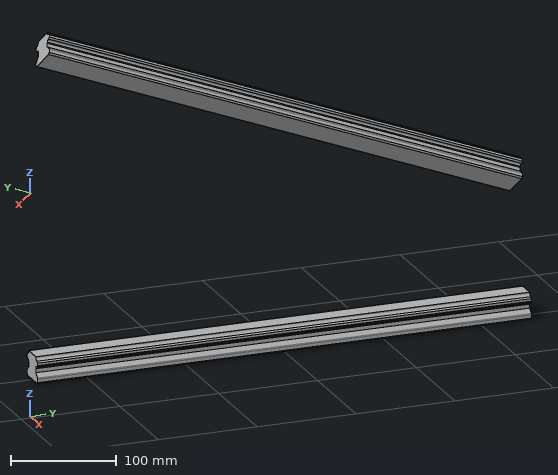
import cadquery as cq
import math

length = 500.0
width = 28.0
height = 26.0
half_width = width / 2

waist_half_width = 9.5
rim_top = 21.0
rim_bottom = 18.5
rim_bevel = 1.5
upper_groove_radius = 3.0
lower_groove_radius = 2.0

waist_top = 14.0
waist_bottom = 10.0
flare_width = 0.5

shoulder_angle = math.radians(45)
shoulder_radius = 1.5
foot_chamfer = 1.5


def half_outline():
    """Right half of the rail section, open along the middle plane, bottom to top."""
    rim_edge_x = half_width - rim_bevel
    upper_groove_floor = rim_top + rim_bevel
    upper_groove_top = upper_groove_floor + upper_groove_radius
    lower_groove_roof = rim_bottom - rim_bevel
    lower_groove_x = waist_half_width + flare_width

    shoulder_z = waist_bottom - (half_width - waist_half_width) * math.tan(shoulder_angle)
    tangent_length = shoulder_radius * math.tan(shoulder_angle / 2)
    rounding_start = (half_width, shoulder_z - tangent_length)
    rounding_end = (
        half_width - tangent_length * math.cos(shoulder_angle),
        shoulder_z + tangent_length * math.sin(shoulder_angle),
    )

    return (
        cq.Workplane("XZ", origin=(0, length / 2, -height / 2))
        .lineTo(half_width - foot_chamfer, 0)
        .lineTo(half_width, foot_chamfer)
        .lineTo(*rounding_start)
        .radiusArc(rounding_end, -shoulder_radius)
        .lineTo(waist_half_width, waist_bottom)
        .lineTo(waist_half_width, waist_top)
        .lineTo(lower_groove_x, lower_groove_roof - lower_groove_radius)
        .radiusArc((lower_groove_x + lower_groove_radius, lower_groove_roof), lower_groove_radius)
        .lineTo(rim_edge_x, lower_groove_roof)
        .lineTo(half_width, rim_bottom)
        .lineTo(half_width, rim_top)
        .lineTo(rim_edge_x, upper_groove_floor)
        .radiusArc((waist_half_width, upper_groove_top), upper_groove_radius)
        .lineTo(waist_half_width, height)
        .lineTo(0, height)
    )


result = half_outline().mirrorY().extrude(length).clean()